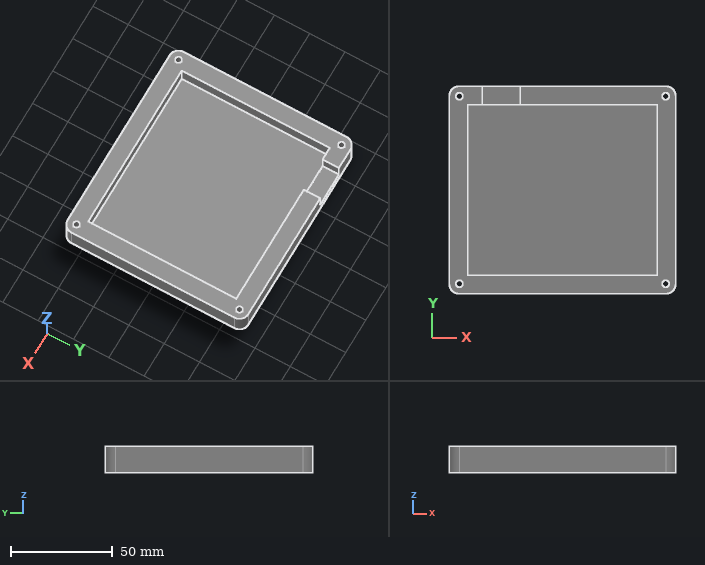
import cadquery as cq

length = 111.6
width = 102.4
height = 13.2
corner_radius = 5.0

wall = 9.3
floor = 3.0

notch_width = 18.6
notch_offset = 7.1
notch_depth = 8.0

hole_diameter = 3.3

cavity_length = length - 2 * wall
cavity_width = width - 2 * wall
hole_spacing_x = length - 2 * corner_radius
hole_spacing_y = width - 2 * corner_radius


def make_body():
    """Flat block with rounded vertical corners, standing on Z = 0."""
    block = cq.Workplane("XY").box(length, width, height, centered=(True, True, False))
    return block.edges("|Z").fillet(corner_radius)


def make_cavity():
    """Rectangular pocket that leaves the walls and the floor."""
    return (
        cq.Workplane("XY", origin=(0, 0, floor))
        .rect(cavity_length, cavity_width)
        .extrude(height - floor)
    )


def make_notch():
    """Slot across the full thickness of the rear wall, open at the top."""
    center_x = -cavity_length / 2 + notch_offset + notch_width / 2
    center_y = (width - wall) / 2
    return (
        cq.Workplane("XY", origin=(center_x, center_y, height - notch_depth))
        .rect(notch_width, wall)
        .extrude(notch_depth)
    )


def make_screw_holes():
    """Through holes, one in each corner."""
    return (
        cq.Workplane("XY")
        .rect(hole_spacing_x, hole_spacing_y, forConstruction=True)
        .vertices()
        .circle(hole_diameter / 2)
        .extrude(height)
    )


result = make_body().cut(make_cavity()).cut(make_notch()).cut(make_screw_holes())